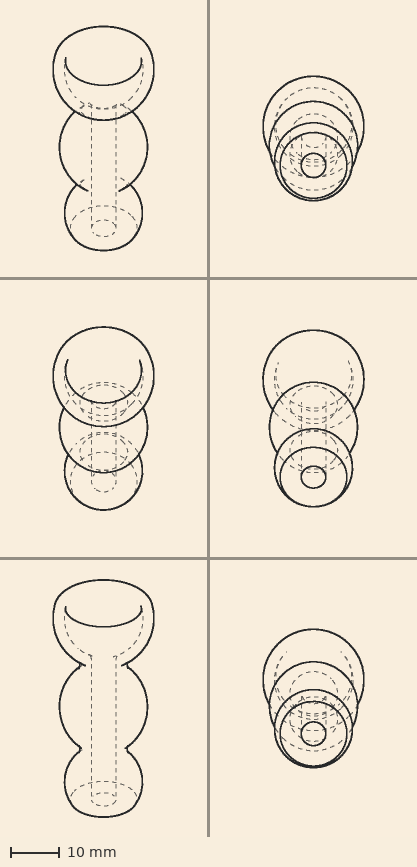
import cadquery as cq
import math

height = 47.35
neck_radius = 9.8 / 2
hole_radius = 5.0 / 2
neck_fillet = 3.0

ball_radius = 8.0
ball_z = 4.15

bulge_radius = 9.05
bulge_arc_radius = 10.85
bulge_z = 22.45
bulge_arc_x = bulge_radius - bulge_arc_radius

cup_outer_radius = 10.35
cup_inner_radius = 8.05
lip_centre_height = 2.25
cup_cone_angle = math.radians(45)
cup_cone_end_z = 35.2
hole_fillet = 4.0

lip_radius = (cup_outer_radius - cup_inner_radius) / 2
cup_z = height - lip_radius - lip_centre_height


def polar(centre, radius, angle):
    """Point on a circle, with the angle measured from +X towards +Z."""
    return (centre[0] + radius * math.cos(angle), centre[1] + radius * math.sin(angle))


def fillet_angle(arc_x, arc_radius, cylinder_radius, fillet):
    """Elevation from an arc's centre to the fillet blending it into a cylinder."""
    return math.acos((cylinder_radius + fillet - arc_x) / (arc_radius + fillet))


def add_neck_blend(profile, start_angle, end_angle, fillet_z):
    """Concave neck fillet, running between two angles about its own centre."""
    centre = (neck_radius + neck_fillet, fillet_z)
    middle = polar(centre, neck_fillet, (start_angle + end_angle) / 2)
    return profile.threePointArc(middle, polar(centre, neck_fillet, end_angle))


ball_angle = fillet_angle(0, ball_radius, neck_radius, neck_fillet)
bulge_angle = fillet_angle(bulge_arc_x, bulge_arc_radius, neck_radius, neck_fillet)
bulge_fillet_rise = (bulge_arc_radius + neck_fillet) * math.sin(bulge_angle)
ball_fillet_z = ball_z + (ball_radius + neck_fillet) * math.sin(ball_angle)
lower_bulge_fillet_z = bulge_z - bulge_fillet_rise
upper_bulge_fillet_z = bulge_z + bulge_fillet_rise
cup_fillet_z = cup_cone_end_z - neck_fillet * math.sin(cup_cone_angle)

ball_centre = (0, ball_z)
bulge_centre = (bulge_arc_x, bulge_z)
cup_centre = (0, cup_z)

lip_distance = (cup_outer_radius + cup_inner_radius) / 2
lip_angle = math.asin(lip_centre_height / lip_distance)
lip_centre = polar(cup_centre, lip_distance, lip_angle)

hole_angle = -fillet_angle(0, cup_inner_radius, hole_radius, hole_fillet)
hole_fillet_centre = polar(cup_centre, cup_inner_radius + hole_fillet, hole_angle)

base_radius = math.sqrt(ball_radius**2 - ball_z**2)

profile = cq.Workplane("XZ").moveTo(hole_radius, 0).lineTo(base_radius, 0)

profile = profile.threePointArc(
    polar(ball_centre, ball_radius, 0), polar(ball_centre, ball_radius, ball_angle)
)
profile = add_neck_blend(profile, math.pi + ball_angle, math.pi, ball_fillet_z)
profile = profile.lineTo(neck_radius, lower_bulge_fillet_z)
profile = add_neck_blend(profile, math.pi, math.pi - bulge_angle, lower_bulge_fillet_z)

profile = profile.threePointArc(
    polar(bulge_centre, bulge_arc_radius, 0), polar(bulge_centre, bulge_arc_radius, bulge_angle)
)
profile = add_neck_blend(profile, math.pi + bulge_angle, math.pi, upper_bulge_fillet_z)
profile = profile.lineTo(neck_radius, cup_fillet_z)
profile = add_neck_blend(profile, math.pi, math.pi - cup_cone_angle, cup_fillet_z)

profile = profile.lineTo(*polar(cup_centre, cup_outer_radius, -cup_cone_angle))
profile = profile.threePointArc(
    polar(cup_centre, cup_outer_radius, 0), polar(cup_centre, cup_outer_radius, lip_angle)
)
profile = profile.threePointArc(
    polar(lip_centre, lip_radius, math.pi / 2), polar(cup_centre, cup_inner_radius, lip_angle)
)
profile = profile.threePointArc(
    polar(cup_centre, cup_inner_radius, (lip_angle + hole_angle) / 2),
    polar(cup_centre, cup_inner_radius, hole_angle),
)

profile = profile.threePointArc(
    polar(hole_fillet_centre, hole_fillet, math.pi + hole_angle / 2),
    polar(hole_fillet_centre, hole_fillet, math.pi),
)

result = profile.close().revolve(360, (0, 0, 0), (0, 1, 0))